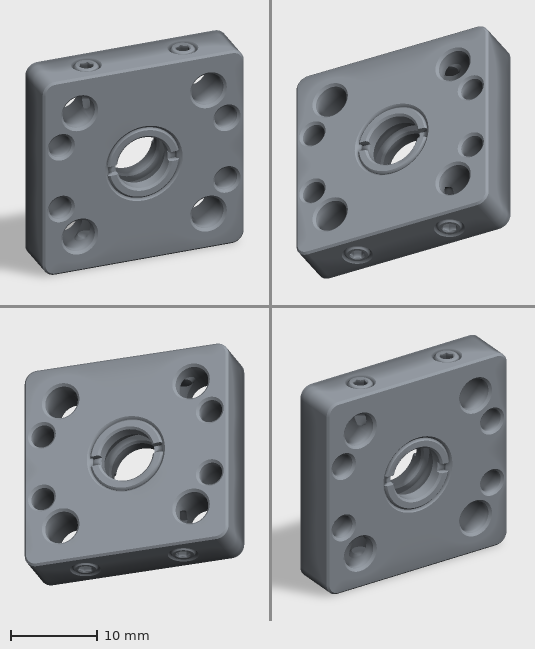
import cadquery as cq
import math

PLATE_SIDE = 25.0
PLATE_THICKNESS = 6.0
CORNER_RADIUS = 1.5
PLATE_CHAMFER = 0.25
HOLE_CHAMFER = 0.3

ROD_HOLE_DIAMETER = 4.0
ROD_HOLE_OFFSET = 8.0

SIDE_HOLE_DIAMETER = 2.8
SIDE_HOLE_Y = 10.3
SIDE_HOLE_Z = 4.0

RING_OUTER_DIAMETER = 9.0
RING_INNER_DIAMETER = 6.5
RING_LENGTH = 2.0
RING_CHAMFER = 0.25
RING_SLOT_WIDTH = 1.2
RING_SLOT_DEPTH = 0.8
RING_TURN = 3.8

SCREW_DIAMETER = 3.0
SCREW_LENGTH = 3.0
SCREW_HEAD_CHAMFER = 0.25
SCREW_TIP_DIAMETER = 2.0
SCREW_OFFSET_Y = 6.0
SOCKET_WIDTH = 1.5
SOCKET_DEPTH = 1.5
SOCKET_RIM_DIAMETER = 1.85
SOCKET_TURN = {-1: 0.0, 1: 25.0}

RING_BORE_DIAMETER = 8.5
RING_BORE_RIM_DIAMETER = RING_OUTER_DIAMETER + 2 * HOLE_CHAMFER
DRILL_DIAMETER = 2.5
DRILL_DEPTH = 5.0
DRILL_POINT_ANGLE = 118.0

HALF_SIDE = PLATE_SIDE / 2
HALF_THICKNESS = PLATE_THICKNESS / 2
SCREW_TIP_Z = HALF_SIDE - SCREW_LENGTH
SIDES = (-1, 1)


def cylinder_x(diameter, start, length):
    """Cylinder on the X axis that runs from start towards +X."""
    return cq.Workplane("YZ", origin=(start, 0, 0)).circle(diameter / 2).extrude(length)


def through_hole(diameter, rim_diameter):
    """Cutter along X for a hole with a 45 degree countersink on both faces of the plate."""
    radius = diameter / 2
    rim_radius = rim_diameter / 2
    inner_x = HALF_THICKNESS - (rim_radius - radius)
    return (
        cq.Workplane("XY")
        .moveTo(-HALF_THICKNESS, 0)
        .lineTo(-HALF_THICKNESS, rim_radius)
        .lineTo(-inner_x, radius)
        .lineTo(inner_x, radius)
        .lineTo(HALF_THICKNESS, rim_radius)
        .lineTo(HALF_THICKNESS, 0)
        .close()
        .revolve(360, (0, 0, 0), (1, 0, 0))
    )


def screw_hole():
    """Cutter along Z for one set screw hole on the +Z side: drilled, widened to fit the screw, countersunk."""
    radius = SCREW_DIAMETER / 2
    drill_radius = DRILL_DIAMETER / 2
    drill_end_z = HALF_SIDE - DRILL_DEPTH
    drill_point_length = drill_radius / math.tan(math.radians(DRILL_POINT_ANGLE / 2))
    seat_z = SCREW_TIP_Z + drill_radius - SCREW_TIP_DIAMETER / 2
    return (
        cq.Workplane("XZ")
        .moveTo(0, drill_end_z - drill_point_length)
        .lineTo(drill_radius, drill_end_z)
        .lineTo(drill_radius, seat_z)
        .lineTo(radius, seat_z + radius - drill_radius)
        .lineTo(radius, HALF_SIDE - HOLE_CHAMFER)
        .lineTo(radius + HOLE_CHAMFER, HALF_SIDE)
        .lineTo(0, HALF_SIDE)
        .close()
        .revolve(360, (0, 0, 0), (0, 1, 0))
    )


def at_screw_place(shape, side_y, side_z):
    """Move a shape built on the +Z side of the Z axis to one of the four screw places."""
    if side_z < 0:
        shape = shape.mirror("XY")
    return shape.translate((0, side_y * SCREW_OFFSET_Y, 0))


def make_plate(rings):
    """Plate with all its holes, each ring seated in a recess of its own shape."""
    plate = (
        cq.Workplane("YZ", origin=(-HALF_THICKNESS, 0, 0))
        .rect(PLATE_SIDE, PLATE_SIDE)
        .extrude(PLATE_THICKNESS)
        .edges("|X")
        .fillet(CORNER_RADIUS)
        .faces("<X or >X")
        .chamfer(PLATE_CHAMFER)
        .cut(through_hole(RING_BORE_DIAMETER, RING_BORE_RIM_DIAMETER))
    )
    rod_hole = through_hole(ROD_HOLE_DIAMETER, ROD_HOLE_DIAMETER + 2 * HOLE_CHAMFER)
    side_hole = through_hole(SIDE_HOLE_DIAMETER, SIDE_HOLE_DIAMETER + 2 * HOLE_CHAMFER)
    for side_y in SIDES:
        for side_z in SIDES:
            plate = plate.cut(rod_hole.translate((0, side_y * ROD_HOLE_OFFSET, side_z * ROD_HOLE_OFFSET)))
            plate = plate.cut(side_hole.translate((0, side_y * SIDE_HOLE_Y, side_z * SIDE_HOLE_Z)))
            plate = plate.cut(at_screw_place(screw_hole(), side_y, side_z))
    for ring in rings:
        plate = plate.cut(ring)
    return plate


def make_ring(side_x):
    """Retaining ring flush with one face of the plate, its spanner slots open to that face."""
    ring = (
        cylinder_x(RING_OUTER_DIAMETER, -HALF_THICKNESS, RING_LENGTH)
        .cut(cylinder_x(RING_INNER_DIAMETER, -HALF_THICKNESS, RING_LENGTH))
        .faces("<X or >X")
        .chamfer(RING_CHAMFER)
    )
    slot = (
        cq.Workplane("YZ", origin=(-HALF_THICKNESS, 0, 0))
        .rect(RING_OUTER_DIAMETER, RING_SLOT_WIDTH)
        .extrude(RING_SLOT_DEPTH)
        .rotate((0, 0, 0), (1, 0, 0), RING_TURN)
    )
    ring = ring.cut(slot)
    if side_x > 0:
        ring = ring.mirror("YZ")
    return ring


def screw_blank():
    """Set screw without its socket: flat tip, chamfered head and the cone that leads into the socket."""
    radius = SCREW_DIAMETER / 2
    tip_radius = SCREW_TIP_DIAMETER / 2
    rim_radius = SOCKET_RIM_DIAMETER / 2
    return (
        cq.Workplane("XZ")
        .moveTo(0, SCREW_TIP_Z)
        .lineTo(tip_radius, SCREW_TIP_Z)
        .lineTo(radius, SCREW_TIP_Z + radius - tip_radius)
        .lineTo(radius, HALF_SIDE - SCREW_HEAD_CHAMFER)
        .lineTo(radius - SCREW_HEAD_CHAMFER, HALF_SIDE)
        .lineTo(rim_radius, HALF_SIDE)
        .lineTo(0, HALF_SIDE - rim_radius)
        .close()
        .revolve(360, (0, 0, 0), (0, 1, 0))
    )


def make_set_screw(side_y, side_z):
    """Set screw with a hexagon socket, its head flush with the plate edge."""
    socket = (
        cq.Workplane("XY", origin=(0, 0, HALF_SIDE - SOCKET_DEPTH))
        .polygon(6, SOCKET_WIDTH / math.cos(math.pi / 6))
        .extrude(SOCKET_DEPTH)
        .rotate((0, 0, 0), (0, 0, 1), 90 + SOCKET_TURN[side_y])
    )
    screw = screw_blank().cut(socket)
    return at_screw_place(screw, side_y, side_z)


rings = [make_ring(side_x) for side_x in SIDES]
set_screws = [make_set_screw(side_y, side_z) for side_y in SIDES for side_z in SIDES]
plate = make_plate(rings)

result = cq.Compound.makeCompound([body.val() for body in [plate, *rings, *set_screws]])